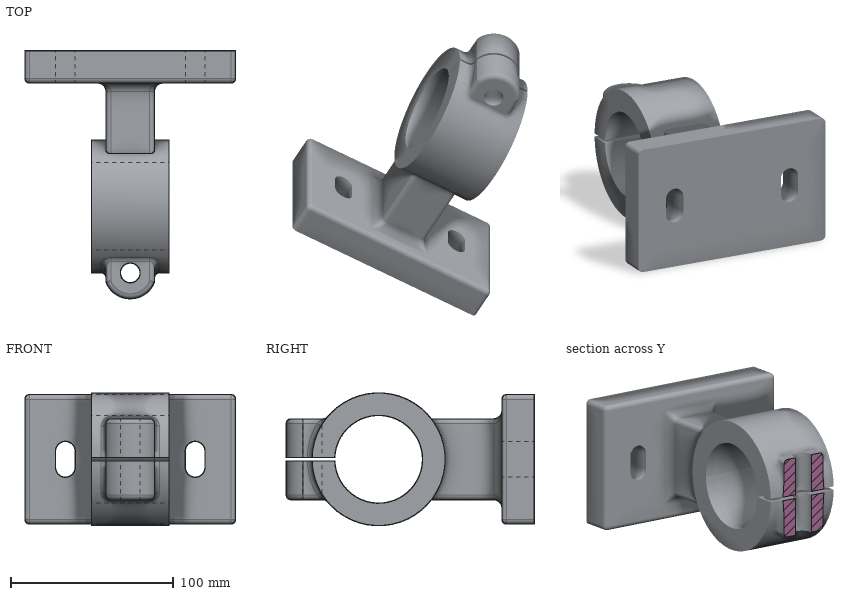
import cadquery as cq
import math

plate_width = 130
plate_depth = 20
plate_height = 80
slot_width = 12
slot_length = 22
slot_spacing = 80

ring_outer_radius = 41
ring_bore_radius = 27
ring_width = 48
ring_y = -96
slit_height = 2

arm_width = 30
arm_height = 50
lug_nose_radius = 16
screw_hole_diameter = 12
screw_y = ring_y - ring_outer_radius

edge_fillet = 3
arm_root_fillet = 5
lug_root_fillet = 3

pick_margin = 1

lug_side_end_y = screw_y - math.sqrt(lug_nose_radius**2 - (arm_width / 2) ** 2)
lug_tip_y = screw_y - lug_nose_radius


def edges_in_box(body, size, centre):
    """Edges of the body whose centres lie in a box of the given size."""
    low = [middle - side / 2 for middle, side in zip(centre, size)]
    high = [middle + side / 2 for middle, side in zip(centre, size)]
    return body.edges(cq.selectors.BoxSelector(low, high))


def make_plate():
    """Plate with rounded edges everywhere except around the flat back."""
    plate = cq.Workplane("XY").box(plate_width, plate_depth, plate_height)
    plate = plate.translate((0, -plate_depth / 2, 0))
    return plate.edges("|Y or <Y").fillet(edge_fillet)


def make_arm_on_plate():
    """Plate with a bar up to the ring axis, blended into the plate with mitred corners."""
    length = -plate_depth - ring_y
    arm = cq.Workplane("XY").box(arm_width, length, arm_height)
    arm = arm.translate((0, ring_y + length / 2, 0))
    body = make_plate().union(arm)
    root_size = (arm_width + pick_margin, pick_margin, arm_height + pick_margin)
    body = edges_in_box(body, root_size, (0, -plate_depth, 0)).fillet(arm_root_fillet)
    long_size = (arm_width + pick_margin, length / 2, arm_height + pick_margin)
    long_edges = edges_in_box(body, long_size, (0, ring_y + length / 2, 0))
    return long_edges.edges("|Y").fillet(edge_fillet)


def make_ring():
    """Solid disc of the clamp ring; the bore is cut later."""
    ring = cq.Workplane("YZ").center(ring_y, 0).circle(ring_outer_radius)
    return ring.extrude(ring_width / 2, both=True)


def make_lug():
    """Round-nosed clamp lug, with its top and bottom rims rounded."""
    half_width = arm_width / 2
    lug = (
        cq.Workplane("XY")
        .moveTo(half_width, ring_y)
        .lineTo(half_width, lug_side_end_y)
        .threePointArc((0, lug_tip_y), (-half_width, lug_side_end_y))
        .lineTo(-half_width, ring_y)
        .close()
        .extrude(arm_height / 2, both=True)
    )
    rim = lug.faces("|Z").edges("not(>Y)")
    return rim.fillet(edge_fillet)


def is_on_ring(edge):
    """True where both ends of an edge lie on the ring's outer surface."""
    tolerance = 0.01
    ends = (edge.startPoint(), edge.endPoint())
    return all(abs(math.hypot(p.y - ring_y, p.z) - ring_outer_radius) < tolerance for p in ends)


def fillet_lug_root(body):
    """Blend the lug into the outside of the ring."""
    back_y = ring_y - math.sqrt(ring_outer_radius**2 - (arm_height / 2) ** 2) + pick_margin
    front_y = ring_y - ring_outer_radius - pick_margin
    size = (arm_width + pick_margin, back_y - front_y, arm_height + pick_margin)
    centre = (0, (back_y + front_y) / 2, 0)
    root = edges_in_box(body, size, centre)
    on_ring = root.filter(is_on_ring)
    return on_ring.fillet(lug_root_fillet)


def make_plate_slots():
    """Cutters for the two upright fixing slots."""
    slots = cq.Workplane("XZ").pushPoints([(-slot_spacing / 2, 0), (slot_spacing / 2, 0)])
    return slots.slot2D(slot_length, slot_width, angle=90).extrude(plate_depth)


def make_bore():
    """Cutter for the bore of the ring."""
    bore = cq.Workplane("YZ").center(ring_y, 0).circle(ring_bore_radius)
    return bore.extrude(ring_width / 2, both=True)


def make_slit():
    """Cutter that opens the ring and splits the lug at mid-height."""
    length = ring_y - lug_tip_y
    slit = cq.Workplane("XY").box(ring_width, length, slit_height)
    return slit.translate((0, ring_y - length / 2, 0))


def make_screw_hole():
    """Cutter for the clamp screw hole through both halves of the lug."""
    hole = cq.Workplane("XY").center(0, screw_y).circle(screw_hole_diameter / 2)
    return hole.extrude(arm_height / 2, both=True)


body = fillet_lug_root(make_ring().union(make_lug()))
body = body.union(make_arm_on_plate())
for cutter in (make_plate_slots(), make_bore(), make_slit(), make_screw_hole()):
    body = body.cut(cutter)
result = body